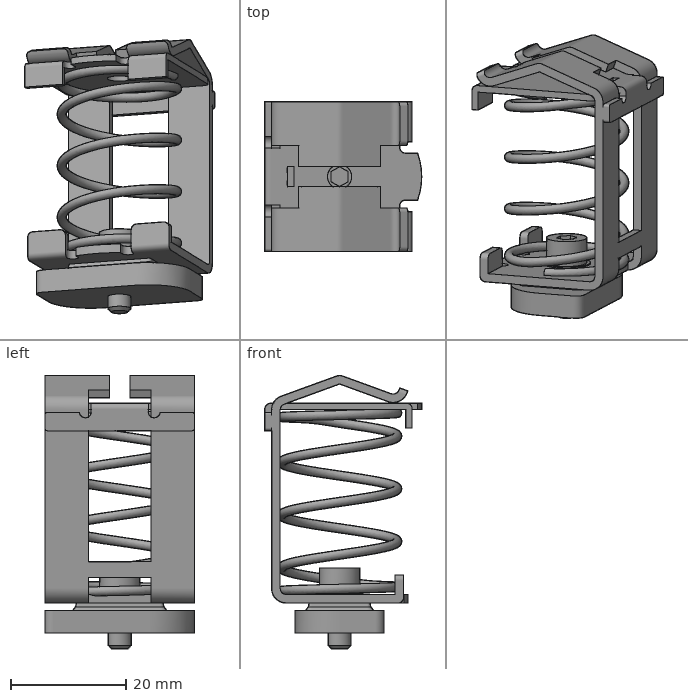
import cadquery as cq
import math

width = 26.0
half_width = width / 2

bracket_thk = 1.5
upright_outer_x = -11.8
bend_inner_r = 1.0
bend_outer_r = bend_inner_r + bracket_thk
upright_inner_x = upright_outer_x + bracket_thk
bend_x = upright_outer_x + bend_outer_r
roof_angle = math.radians(20)
roof_inner_peak_z = 38.0
curl_start_x = 8.4
curl_inner_r = 1.1
curl_outer_r = curl_inner_r + bracket_thk
curl_straight = 0.35
curl_corner_r = 0.8
window_half = 5.4
crossbar_bottom_z = 4.4
crossbar_top_z = 7.2
roof_slot_half = 1.75
roof_notch_x = 7.1

tongue_half = 4.1
tab_inner_y = 6.05
tongue_end_r = 12.0
tab_bend_r = 1.0
base_end_x = 11.9
base_tab_inner_x = 9.6
base_tab_top_z = 4.9
base_tab_corner_r = 1.0
base_relief_x = 9.0

plate_top_z = 34.7
plate_thk = 1.15
plate_bottom_z = plate_top_z - plate_thk
plate_end_x = 14.27
plate_shoulder_r = 1.2
plate_tab_outer_x = 12.6
plate_tab_bottom_z = 30.35
plate_relief_x = 10.45
neck_half = 4.95
lip_outer_x = -13.0
lip_bend_r = 1.1
lip_top_z = 33.1
lip_bottom_z = 29.9
lip_corner = 0.45
lip_relief_outer_y = 7.0
lip_relief_bottom_z = 32.15
plate_slot_x = -8.5
plate_slot_length = 3.5
plate_slot_width = 1.1
access_hole_d = 4.2

nut_width = 15.5
nut_top_z = -1.25
nut_bottom_z = -5.2
nut_small_r = 1.5
nut_large_r = nut_width / 2
pad_foot_x = 11.8
pad_foot_y = 16.3
pad_foot_r = 1.05
pad_step_z = -0.65
pad_foot_draft = 38
pad_rim_draft = 12
screw_d = 4.0
screw_bottom_z = -7.95
screw_chamfer = 0.6
head_d = 7.0
head_top_z = 6.1
hex_across_flats = 3.0
hex_depth = 2.5
collar_d = 8.2
collar_height = 0.2

coil_r = 10.0
wire_d = 1.6
active_pitch = 9.15
closed_pitch = 1.4
spring_mid_z = 17.55
half_turns = 2.5
active_half_turns = 1.585
points_per_turn = 16

FAR = 100.0


def box(x0, x1, y0, y1, z0, z1):
    """Box between two opposite corners."""
    return cq.Workplane("XY").box(x1 - x0, y1 - y0, z1 - z0, centered=False).translate((x0, y0, z0))


def cylinder(diameter, z0, z1):
    """Upright cylinder on the spring axis."""
    return cq.Workplane("XY").workplane(offset=z0).circle(diameter / 2).extrude(z1 - z0)


def both_sides(solid):
    """The solid together with its mirror image across the Y = 0 plane."""
    return solid.union(solid.mirror("XZ"))


def polar(center, radius, angle):
    """Point at a radius and angle from a center."""
    return (center[0] + radius * math.cos(angle), center[1] + radius * math.sin(angle))


def curl_points():
    """Start of the curl on the roof underside, and its bend center."""
    start = (curl_start_x, roof_inner_peak_z - math.tan(roof_angle) * curl_start_x)
    return start, polar(start, curl_outer_r, math.pi / 2 - roof_angle)


def curl_corner_waste():
    """Material outside the rounded corners at the tip of one curl."""
    _, curl_center = curl_points()
    blank = box(-bracket_thk, bracket_thk, window_half, half_width, -curl_corner_r, 0)
    rounded = box(-bracket_thk, bracket_thk, window_half, half_width, -2 * curl_corner_r, 0)
    rounded = rounded.edges("|X and >Z").fillet(curl_corner_r)
    tip = polar(curl_center, curl_inner_r + bracket_thk / 2, -roof_angle)
    tip_x, tip_z = polar(tip, curl_straight, math.pi / 2 - roof_angle)
    waste = blank.cut(rounded).rotate((0, 0, 0), (0, 1, 0), math.degrees(roof_angle))
    return waste.translate((tip_x, 0, tip_z))


def roof_notch():
    """Cutter for the wide opening on the eave side, its end face square to the roof slope."""
    edge_z = roof_inner_peak_z + bracket_thk / math.cos(roof_angle) - roof_notch_x * math.tan(roof_angle)
    notch = box(-roof_notch_x, 0, -window_half, window_half, -roof_notch_x / 2, roof_notch_x)
    notch = notch.rotate((0, 0, 0), (0, 1, 0), -math.degrees(roof_angle))
    return notch.translate((-roof_notch_x, 0, edge_z))


def bracket_strip():
    """Folded strip: base, upright, sloped roof with a ridge, and end curl."""
    slope = math.tan(roof_angle)
    left_normal = math.pi / 2 + roof_angle
    right_normal = math.pi / 2 - roof_angle
    base_bend = (bend_x, bend_outer_r)
    eave_x = bend_x + bend_inner_r * math.cos(left_normal)
    eave_z = roof_inner_peak_z + slope * eave_x
    eave_bend = (bend_x, eave_z - bend_inner_r * math.sin(left_normal))
    eave_mid = (math.pi + left_normal) / 2
    ridge = (0, roof_inner_peak_z)

    curl_start, curl_center = curl_points()
    curl_from = right_normal - math.pi
    curl_to = -roof_angle
    curl_mid = (curl_from + curl_to) / 2
    curl_outer_end = polar(curl_center, curl_outer_r, curl_to)
    curl_inner_end = polar(curl_center, curl_inner_r, curl_to)

    base_mid = math.radians(225)
    profile = (
        cq.Workplane("XZ")
        .moveTo(base_end_x, 0)
        .lineTo(bend_x, 0)
        .threePointArc(polar(base_bend, bend_outer_r, base_mid), (upright_outer_x, bend_outer_r))
        .lineTo(upright_outer_x, eave_bend[1])
        .threePointArc(polar(eave_bend, bend_outer_r, eave_mid), polar(eave_bend, bend_outer_r, left_normal))
        .lineTo(*polar(ridge, bracket_thk, left_normal))
        .threePointArc(polar(ridge, bracket_thk, math.pi / 2), polar(ridge, bracket_thk, right_normal))
        .lineTo(*polar(curl_center, curl_inner_r, curl_from))
        .threePointArc(polar(curl_center, curl_inner_r, curl_mid), curl_inner_end)
        .lineTo(*polar(curl_inner_end, curl_straight, right_normal))
        .lineTo(*polar(curl_outer_end, curl_straight, right_normal))
        .lineTo(*curl_outer_end)
        .threePointArc(polar(curl_center, curl_outer_r, curl_mid), curl_start)
        .lineTo(*ridge)
        .lineTo(eave_x, eave_z)
        .threePointArc(polar(eave_bend, bend_inner_r, eave_mid), (upright_inner_x, eave_bend[1]))
        .lineTo(upright_inner_x, bend_outer_r)
        .threePointArc(polar(base_bend, bend_inner_r, base_mid), (bend_x, bracket_thk))
        .lineTo(base_end_x, bracket_thk)
        .close()
    )
    return profile.extrude(half_width, both=True)


def tongue_outline(end_x, relief_x, tab_x, z0, z1):
    """Region kept at a free end: full width up to tab_x, a round-ended tongue, relief notches."""
    body = box(-FAR, tab_x, -half_width, half_width, z0, z1)
    sagitta = tongue_end_r - math.sqrt(tongue_end_r**2 - tongue_half**2)
    tongue = (
        cq.Workplane("XY")
        .workplane(offset=z0)
        .moveTo(0, -tongue_half)
        .lineTo(end_x - sagitta, -tongue_half)
        .threePointArc((end_x, 0), (end_x - sagitta, tongue_half))
        .lineTo(0, tongue_half)
        .close()
        .extrude(z1 - z0)
    )
    relief = (
        cq.Workplane("XY")
        .workplane(offset=z0)
        .center(relief_x + FAR / 2, (tab_inner_y + tongue_half) / 2)
        .slot2D(FAR, tab_inner_y - tongue_half)
        .extrude(z1 - z0)
    )
    gap = box(tab_x, FAR, -tongue_half, tongue_half, z0, z1)
    return body.cut(both_sides(relief)).cut(gap).union(tongue)


def bracket():
    """Bracket strip with its openings, roof slot, rounded curl corners and upturned base tabs."""
    strip = bracket_strip()

    above_crossbar = box(-FAR, bend_x, -window_half, window_half, crossbar_top_z, FAR)
    below_crossbar = box(-FAR, bend_x, -window_half, window_half, -FAR, crossbar_bottom_z)
    roof_slot = box(-FAR, FAR, -roof_slot_half, roof_slot_half, plate_top_z, FAR)
    strip = strip.cut(above_crossbar).cut(below_crossbar).cut(roof_slot)
    eave_gap = roof_notch()
    strip = strip.cut(eave_gap).cut(eave_gap.mirror("YZ"))
    strip = strip.cut(both_sides(curl_corner_waste()))

    tab_outer_x = base_tab_inner_x + bracket_thk
    outline = tongue_outline(base_end_x, base_relief_x, tab_outer_x, 0, bracket_thk)
    trimmed_end = box(0, FAR, -half_width, half_width, 0, bracket_thk)
    strip = strip.cut(trimmed_end.cut(outline))
    tab_root = box(base_tab_inner_x, FAR, tab_inner_y, half_width, 0, bracket_thk)
    strip = strip.cut(both_sides(tab_root))

    tab = box(base_tab_inner_x, tab_outer_x, tab_inner_y, half_width, 0, base_tab_top_z)
    tab = tab.edges("|X and >Z").fillet(base_tab_corner_r)
    tab = tab.edges("|Y and <Z and >X").fillet(tab_bend_r)
    return strip.union(both_sides(tab))


def top_plate():
    """Plate under the roof: neck and hooked lip at one end, tongue and down-turned tabs at the other."""
    tab_inner_x = plate_tab_outer_x - plate_thk
    lip_inner_x = upright_outer_x

    plate = tongue_outline(plate_end_x, plate_relief_x, tab_inner_x, plate_bottom_z, plate_top_z)
    body = box(upright_inner_x, FAR, -half_width, half_width, plate_bottom_z, plate_top_z)
    plate = plate.intersect(body.edges("|Z and <X").fillet(plate_shoulder_r))

    tab = box(tab_inner_x, plate_tab_outer_x, tab_inner_y, half_width, plate_tab_bottom_z, plate_top_z)
    tab = tab.edges("|Y and >Z and >X").fillet(tab_bend_r)
    plate = plate.union(both_sides(tab))

    neck = box(lip_outer_x, upright_inner_x + plate_shoulder_r, -neck_half, neck_half,
               plate_bottom_z, plate_top_z)
    neck = neck.edges("|Y and >Z and <X").fillet(lip_bend_r)

    lip = box(lip_outer_x, lip_inner_x, -half_width, half_width, lip_bottom_z, lip_top_z)
    lip = lip.edges("|X").fillet(lip_corner)
    lip = lip.union(box(lip_outer_x, lip_inner_x, -neck_half, neck_half, lip_bottom_z, plate_bottom_z))
    relief = (
        cq.Workplane("YZ")
        .workplane(offset=lip_outer_x)
        .center((neck_half + lip_relief_outer_y) / 2, lip_relief_bottom_z + FAR / 2)
        .slot2D(FAR, lip_relief_outer_y - neck_half, 90)
        .extrude(lip_inner_x - lip_outer_x)
    )
    plate = plate.union(neck).union(lip.cut(both_sides(relief)))

    slot = box(
        plate_slot_x - plate_slot_width / 2,
        plate_slot_x + plate_slot_width / 2,
        -plate_slot_length / 2,
        plate_slot_length / 2,
        plate_bottom_z,
        plate_top_z,
    )
    access_hole = cylinder(access_hole_d, plate_bottom_z, plate_top_z)
    return plate.cut(slot).cut(access_hole)


def pad_layer(size_x, size_y, corner_r, z0, z1, draft):
    """Rounded rectangle that narrows upward by the draft angle."""
    outline = cq.Sketch().rect(size_x, size_y).vertices().fillet(corner_r)
    return cq.Workplane("XY").workplane(offset=z0).placeSketch(outline).extrude(z1 - z0, taper=draft)


def nut():
    """Slot nut with two large and two small opposite corners, and a flared pad under the base."""
    half_x = nut_width / 2
    body = box(-half_x, half_x, -half_width, half_width, nut_bottom_z, nut_top_z)
    for corner, radius in (
        ("<X and >Y", nut_small_r),
        (">X and <Y", nut_small_r),
        ("<X and <Y", nut_large_r),
        (">X and >Y", nut_large_r),
    ):
        body = body.edges("|Z and " + corner).fillet(radius)
    foot = pad_layer(pad_foot_x, pad_foot_y, pad_foot_r, nut_top_z, pad_step_z, pad_foot_draft)
    rim_inset = (pad_step_z - nut_top_z) * math.tan(math.radians(pad_foot_draft))
    rim = pad_layer(
        pad_foot_x - 2 * rim_inset,
        pad_foot_y - 2 * rim_inset,
        pad_foot_r - rim_inset,
        pad_step_z,
        0,
        pad_rim_draft,
    )
    return body.union(foot).union(rim)


def screw():
    """Socket head screw on a thin collar, running down through the base and nut."""
    shank = cylinder(screw_d, screw_bottom_z, bracket_thk).faces("<Z").chamfer(screw_chamfer)
    head = cylinder(head_d, bracket_thk, head_top_z)
    collar = cylinder(collar_d, bracket_thk, bracket_thk + collar_height)
    socket = (
        cq.Workplane("XY")
        .workplane(offset=head_top_z - hex_depth)
        .polygon(6, hex_across_flats, circumscribed=True)
        .extrude(hex_depth)
    )
    return shank.union(collar).union(head).cut(socket)


def spring_point(turn):
    """Point on the wire center line, a number of turns away from mid height over the -Y side."""
    angle = 2 * math.pi * turn - math.pi / 2
    open_turns = max(-active_half_turns, min(active_half_turns, turn))
    rise = active_pitch * open_turns + closed_pitch * (turn - open_turns)
    x, y = polar((0, 0), coil_r, angle)
    return cq.Vector(x, y, spring_mid_z + rise)


def spring():
    """Right-hand coil spring, open wound in the middle and closed at both ends."""
    steps = round(2 * half_turns * points_per_turn)
    points = [spring_point(-half_turns + i / points_per_turn) for i in range(steps + 1)]
    center_line = cq.Wire.assembleEdges([cq.Edge.makeSpline(points)])
    start = cq.Plane(origin=points[0], normal=center_line.tangentAt(0))
    return cq.Workplane(start).circle(wire_d / 2).sweep(cq.Workplane(center_line), isFrenet=True)


result = bracket().union(top_plate()).union(nut()).union(screw()).union(spring())